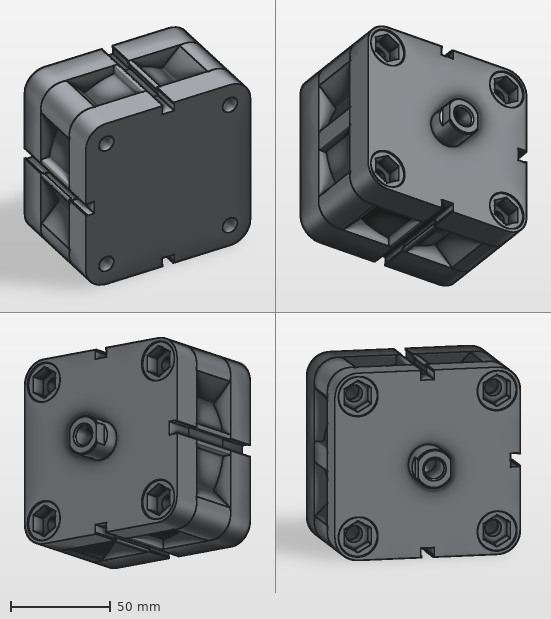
import cadquery as cq
import math

side = 96.0
half_side = side / 2
corner_radius = 12.0
bolt_offset = half_side - corner_radius

rod_length = 15.0
cover_length = 16.5
barrel_length = 28.5

rod_diameter = 20.0
rod_chamfer = 0.6
flat_width = 17.0
flat_length = 6.5
flat_runout = 0.6
bore_diameter = 10.3
bore_mouth_diameter = 12.0
bore_depth = 19.2
bore_tip_half_angle = 59.0

bolt_hole_diameter = 8.5
hex_across_flats = 14.0
hex_depth = 8.4
recess_mouth_diameter = 20.5
recess_floor_diameter = 20.0
recess_depth = 0.5

slot_depth = 5.0
cover_slot_width = 7.0
cover_mouth_width = 6.0
cover_lip = 0.8
barrel_slot_width = 8.0
barrel_mouth_width = 5.4
barrel_lip = 1.2
mouth_fillet = 0.8

tube_radius = 43.5
lug_width = 20.8
rail_width = 10.8
profile_fillet = 1.0

side_angles = [0, 90, 180, 270]
slotted_angles = [0, 90, 180]
corner_angles = [45, 135, 225, 315]

rod_tip_x = -(rod_length + 2 * cover_length + barrel_length) / 2
front_cover_x = rod_tip_x + rod_length
barrel_x = front_cover_x + cover_length
rear_cover_x = barrel_x + barrel_length


def section(x):
    """Sketch plane across the part at x: local x is Y, local y is Z, normal is +X."""
    return cq.Workplane("YZ", origin=(x, 0, 0))


def turned(shape, angle):
    """Turn a shape about the X axis."""
    return shape.rotate((0, 0, 0), (1, 0, 0), angle)


def bolt_holes(x, length):
    """Four through-hole cylinders, one at each corner."""
    pitch = 2 * bolt_offset
    corners = section(x).rect(pitch, pitch, forConstruction=True).vertices()
    return corners.circle(bolt_hole_diameter / 2).extrude(length)


def t_slot(x, length, width, mouth, lip):
    """T-slot sunk into the +Z face: a wide channel behind two lips."""
    floor = half_side - slot_depth
    channel_height = slot_depth - lip
    channel = section(x).center(0, floor + channel_height / 2).rect(width, channel_height).extrude(length)
    opening = section(x).center(0, floor + slot_depth / 2).rect(mouth, slot_depth).extrude(length)
    return channel.union(opening)


def make_cover(x):
    """Square end cover with rounded corners, bolt holes and three T-slots."""
    cover = section(x).rect(side, side).extrude(cover_length).edges("|X").fillet(corner_radius)
    cover = cover.cut(bolt_holes(x, cover_length))
    slot = t_slot(x, cover_length, cover_slot_width, cover_mouth_width, cover_lip)
    for angle in slotted_angles:
        cover = cover.cut(turned(slot, angle))
    return cover


def bolt_seat(x):
    """Shallow recess with a tapered rim and a hexagon socket in its floor, centred on the X axis."""
    rim_radius = recess_mouth_diameter / 2
    taper = math.degrees(math.atan2(rim_radius - recess_floor_diameter / 2, recess_depth))
    recess = section(x).circle(rim_radius).extrude(recess_depth, taper=taper)
    hex_across_corners = hex_across_flats / math.cos(math.radians(30))
    socket = section(x).polygon(6, hex_across_corners).extrude(recess_depth + hex_depth)
    return recess.union(turned(socket, 90))


def make_front_cover():
    """Cover with a recessed hexagon socket at each bolt hole, and the rod hole."""
    cover = make_cover(front_cover_x)
    seat = bolt_seat(front_cover_x)
    for y in (-bolt_offset, bolt_offset):
        for z in (-bolt_offset, bolt_offset):
            cover = cover.cut(seat.translate((0, y, z)))
    return cover.cut(section(front_cover_x).circle(rod_diameter / 2).extrude(cover_length))


def corner_lug():
    """Web from the axis out towards +Z, ending in the round bolt corner."""
    half_width = lug_width / 2
    bolt_radius = bolt_offset * math.sqrt(2)
    arc_end = bolt_radius + math.sqrt(corner_radius**2 - half_width**2)
    return (
        section(barrel_x)
        .moveTo(-half_width, 0)
        .lineTo(-half_width, arc_end)
        .threePointArc((0, bolt_radius + corner_radius), (half_width, arc_end))
        .lineTo(half_width, 0)
        .close()
        .extrude(barrel_length)
    )


def lengthwise_edges(body, y, z):
    """Edges along X that sit at (|Y|, |Z|) = (y, z) or (z, y)."""
    wanted = sorted((y, z))

    def matches(edge):
        centre = edge.Center()
        place = sorted((abs(centre.y), abs(centre.z)))
        return math.dist(place, wanted) < 0.01

    return body.edges("|X").filter(matches)


def make_barrel():
    """Round tube body with four bolt corners and a rail along each side."""
    barrel = section(barrel_x).circle(tube_radius).extrude(barrel_length)
    rail = section(barrel_x).center(0, half_side / 2).rect(rail_width, half_side).extrude(barrel_length)
    for angle in corner_angles:
        barrel = barrel.union(turned(corner_lug(), angle))
    for angle in side_angles:
        barrel = barrel.union(turned(rail, angle))

    half_lug = lug_width / 2
    lug_reach = math.sqrt(tube_radius**2 - half_lug**2)
    lug_foot = ((lug_reach - half_lug) / math.sqrt(2), (lug_reach + half_lug) / math.sqrt(2))
    half_rail = rail_width / 2
    rail_foot = (half_rail, math.sqrt(tube_radius**2 - half_rail**2))
    rail_top = (half_rail, half_side)
    for y, z in (lug_foot, rail_foot, rail_top):
        barrel = lengthwise_edges(barrel, y, z).fillet(profile_fillet)

    slot = t_slot(barrel_x, barrel_length, barrel_slot_width, barrel_mouth_width, barrel_lip)
    for angle in slotted_angles:
        barrel = barrel.cut(turned(slot, angle))
    barrel = lengthwise_edges(barrel, barrel_mouth_width / 2, half_side).fillet(mouth_fillet)
    return barrel.cut(bolt_holes(barrel_x, barrel_length))


def make_rod():
    """Rod with two wrench flats and a drilled bore, seated through the front cover."""
    rod_radius = rod_diameter / 2
    rod = section(rod_tip_x).circle(rod_radius).extrude(rod_length + cover_length)
    rod = rod.faces("<X").chamfer(rod_chamfer)

    flat_y = flat_width / 2
    flat_end = rod_tip_x + flat_length
    flat_cut = (
        cq.Workplane("XY", origin=(0, 0, -rod_radius))
        .moveTo(rod_tip_x, flat_y)
        .lineTo(flat_end, flat_y)
        .lineTo(flat_end + flat_runout, rod_radius)
        .lineTo(rod_tip_x, rod_radius)
        .close()
        .extrude(rod_diameter)
    )
    for angle in (0, 180):
        rod = rod.cut(turned(flat_cut, angle))

    bore_radius = bore_diameter / 2
    mouth_radius = bore_mouth_diameter / 2
    bore_end = rod_tip_x + bore_depth
    tip_length = bore_radius / math.tan(math.radians(bore_tip_half_angle))
    bore = (
        cq.Workplane("XY")
        .moveTo(rod_tip_x, 0)
        .lineTo(rod_tip_x, mouth_radius)
        .lineTo(rod_tip_x + mouth_radius - bore_radius, bore_radius)
        .lineTo(bore_end, bore_radius)
        .lineTo(bore_end + tip_length, 0)
        .close()
        .revolve(360, (0, 0, 0), (1, 0, 0))
    )
    return rod.cut(bore)


front_cover = make_front_cover()
barrel = make_barrel()
rear_cover = make_cover(rear_cover_x)
rod = make_rod()

result = cq.Compound.makeCompound([front_cover.val(), barrel.val(), rear_cover.val(), rod.val()])